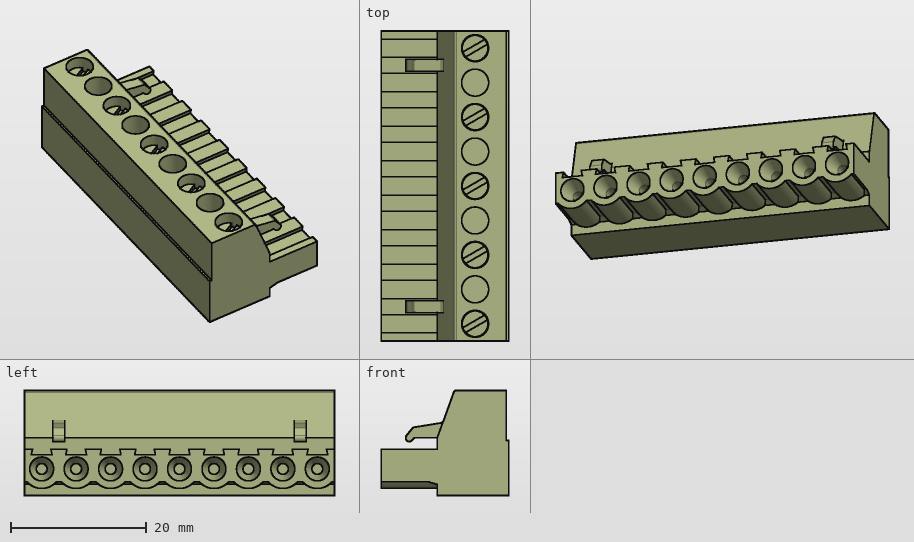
import cadquery as cq
import math

length = 45.75
depth = 18.85
height = 15.5
pole_count = 9
pole_pitch = 5.1

nose_length = 8.3
wall_top = 8.5
slope_top_x = 10.8
slope_round = 0.35
upper_back_x = 18.5
back_step_z = 8.15

nose_top = 6.85
nose_bottom = 2.05
ramp_start_x = 6.9
ramp_foot_z = 1.65
pole_axis_z = 3.95
pole_radius = 2.9
groove_floor = 6.05
groove_top_width = 2.7
groove_floor_width = 3.05

funnel_diameter = 3.52
contact_diameter = 1.6
funnel_depth = 2.97
contact_depth = 6.85

well_x = 13.85
well_diameter = 4.0
well_depth = 4.58
screw_diameter = 3.8
screw_recess = 1.88
slot_width = 0.82
slot_depth = 0.7
slot_angle = 30

latch_width = 1.8
latch_tip_radius = 0.55
latch_bend_round = 0.27
latch_root_round = 0.45
latch_tip_x = 4.15
latch_tip_z = 8.5
latch_underside = 8.5
latch_bend = (4.7, 10.05)
latch_root = (10.05, 10.95)

pole_positions = [(i - (pole_count - 1) / 2) * pole_pitch for i in range(pole_count)]


def extrude_across(sketch, width, center_y=0):
    """Extrude an XZ outline symmetrically along Y about center_y."""
    return sketch.extrude(width / 2, both=True).translate((0, center_y, 0))


def make_housing():
    outline = cq.Workplane("XZ").polyline([
        (nose_length, 0),
        (depth, 0),
        (depth, back_step_z),
        (upper_back_x, back_step_z),
        (upper_back_x, height),
        (slope_top_x, height),
        (nose_length, wall_top),
    ]).close()
    top_edge = cq.selectors.NearestToPointSelector((slope_top_x, 0, height))
    return extrude_across(outline, length).edges(top_edge).fillet(slope_round)


def make_nose():
    outline = cq.Workplane("XZ").polyline([
        (0, nose_bottom),
        (ramp_start_x, nose_bottom),
        (nose_length, ramp_foot_z),
        (nose_length, nose_top),
        (0, nose_top),
    ]).close()
    nose = extrude_across(outline, length)
    envelope = cq.Workplane("XY").box(nose_length, length, nose_top, centered=(False, True, False))
    for y in pole_positions:
        barrel = cq.Workplane("YZ", origin=(0, y, pole_axis_z)).circle(pole_radius).extrude(nose_length)
        nose = nose.union(barrel.intersect(envelope))
    return nose


def make_groove(y):
    """Dovetail groove along the top of one pole of the nose."""
    return cq.Workplane("YZ").polyline([
        (y - groove_floor_width / 2, groove_floor),
        (y + groove_floor_width / 2, groove_floor),
        (y + groove_top_width / 2, nose_top),
        (y - groove_top_width / 2, nose_top),
    ]).close().extrude(nose_length)


def make_contact_hole(y):
    """Funnel that leads into a round contact bore."""
    return (
        cq.Workplane("XY")
        .polyline([
            (0, 0),
            (0, funnel_diameter / 2),
            (funnel_depth, contact_diameter / 2),
            (contact_depth, contact_diameter / 2),
            (contact_depth, 0),
        ])
        .close()
        .revolve(360, (0, 0, 0), (1, 0, 0))
        .translate((0, y, pole_axis_z))
    )


def make_well(y):
    return (
        cq.Workplane("XY", origin=(well_x, y, height - well_depth))
        .circle(well_diameter / 2)
        .extrude(well_depth)
    )


def make_screw(y):
    """Slotted screw head that stands on the floor of a well."""
    head_height = well_depth - screw_recess
    return (
        cq.Workplane("XY")
        .circle(screw_diameter / 2)
        .extrude(head_height)
        .faces(">Z")
        .workplane()
        .transformed(rotate=(0, 0, slot_angle))
        .rect(2 * screw_diameter, slot_width)
        .cutBlind(-slot_depth)
        .translate((well_x, y, height - well_depth))
    )


def make_latch(y):
    """Hooked arm with a round tip, growing out of the sloped front."""
    diagonal = math.sqrt(0.5)
    tip_upper = (latch_tip_x - latch_tip_radius * diagonal, latch_tip_z + latch_tip_radius * diagonal)
    tip_left = (latch_tip_x - latch_tip_radius * diagonal, latch_tip_z - latch_tip_radius * diagonal)
    tip_lower = (latch_tip_x + latch_tip_radius * diagonal, latch_tip_z - latch_tip_radius * diagonal)
    hook_corner_x = tip_lower[0] + latch_underside - tip_lower[1]
    outline = (
        cq.Workplane("XZ")
        .moveTo(*tip_upper)
        .threePointArc(tip_left, tip_lower)
        .lineTo(hook_corner_x, latch_underside)
        .lineTo(latch_root[0], latch_underside)
        .lineTo(*latch_root)
        .lineTo(*latch_bend)
        .close()
    )
    bend_edge = cq.selectors.NearestToPointSelector((latch_bend[0], y, latch_bend[1]))
    return extrude_across(outline, latch_width, y).edges(bend_edge).fillet(latch_bend_round)


def round_latch_root(body, y):
    """Round the inner corner where the top of a latch meets the sloped front."""
    slope_run = (slope_top_x - nose_length) / (height - wall_top)
    root_x = nose_length + slope_run * (latch_root[1] - wall_top)
    root_edge = cq.selectors.NearestToPointSelector((root_x, y, latch_root[1]))
    return body.edges(root_edge).fillet(latch_root_round)


result = make_housing().union(make_nose())

latch_positions = [side * (pole_count - 2) / 2 * pole_pitch for side in (-1, 1)]
for latch_y in latch_positions:
    result = round_latch_root(result.union(make_latch(latch_y)), latch_y)

for pole_y in pole_positions:
    result = result.cut(make_groove(pole_y)).cut(make_contact_hole(pole_y)).cut(make_well(pole_y))

for screw_y in pole_positions[::2]:
    result = result.union(make_screw(screw_y))